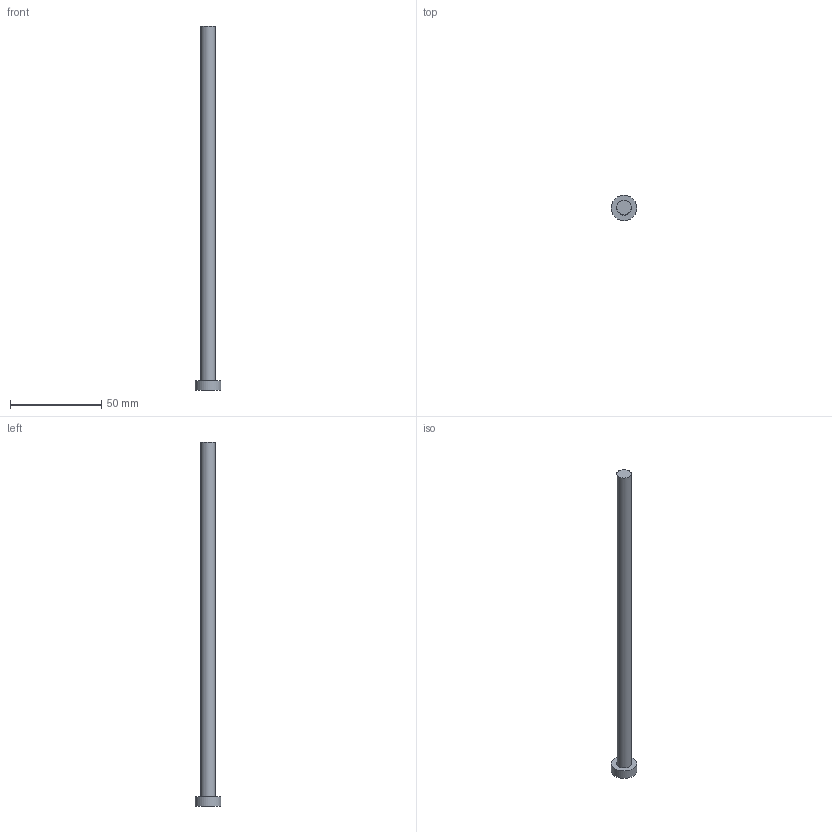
import cadquery as cq

overall_length = 200.0
head_diameter = 14.0
head_thickness = 5.0
shank_diameter = 8.0


def make_head():
    """Disc-shaped head with its underside at Z = 0."""
    return cq.Workplane("XY").circle(head_diameter / 2).extrude(head_thickness)


def make_shank():
    """Round shank running the full length, from the head's underside to the tip."""
    return cq.Workplane("XY").circle(shank_diameter / 2).extrude(overall_length)


result = make_head().union(make_shank())